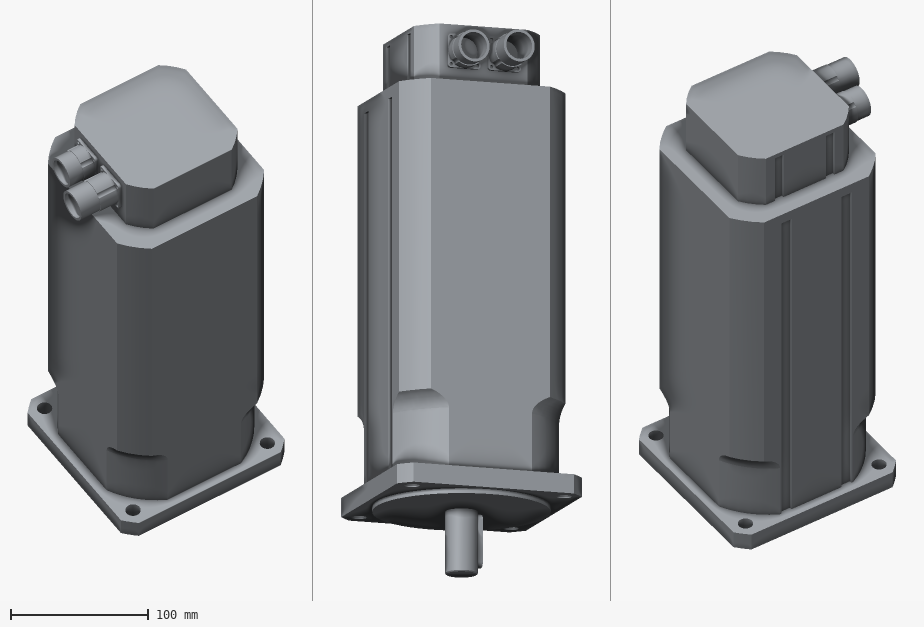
import cadquery as cq
import math


TOP_Z = 397.0
PILOT_Z = 46.5
PILOT_HEIGHT = 3.5
FLANGE_THICKNESS = 14.3
CAP_HEIGHT = 44.5
FLANGE_Z = PILOT_Z + PILOT_HEIGHT
HOUSING_Z = FLANGE_Z + FLANGE_THICKNESS
CAP_Z = TOP_Z - CAP_HEIGHT

FLANGE_WIDTH = 142.0
FLANGE_CORNER_DIAMETER = 188.0
HOUSING_WIDTH = 128.0
HOUSING_CORNER_DIAMETER = 157.2
CAP_WIDTH = 97.0
CAP_CORNER_DIAMETER = 118.5

RELIEF_DIAMETER = 143.0
RELIEF_TOP_Z = 122.0
RELIEF_CURVE_HEIGHT = 13.0

PILOT_DIAMETER = 130.0
BOLT_CIRCLE_DIAMETER = 165.0
BOLT_HOLE_DIAMETER = 11.0

SHAFT_DIAMETER = 24.0
SHAFT_CHAMFER = 0.8
KEY_WIDTH = 8.0
KEY_TOP_REACH = 15.0
KEY_BOTTOM_Z = 5.5
KEY_TOP_GAP = 1.0

GROOVE_DEPTH = 2.0
HOUSING_GROOVE_WIDTH = 8.7
HOUSING_GROOVE_OFFSET = 26.2
HOUSING_GROOVE_TOP_GAP = 8.5
CAP_GROOVE_WIDTH = 7.5
CAP_GROOVE_OFFSET = 22.2
CAP_GROOVE_TOP_GAP = 3.5

CONNECTOR_SPACING = 31.0
CONNECTOR_Z = 377.0
PLATE_SIZE = 25.0
PLATE_THICKNESS = 2.5
PLATE_CORNER_RADIUS = 2.5
PLATE_HOLE_DIAMETER = 2.7
BARREL_DIAMETER = PLATE_SIZE
SCREW_CLEARANCE_DIAMETER = 5.5
SLEEVE_DIAMETER = 24.0
BORE_DIAMETER = 20.0
SHORT_BARREL_END = 12.0
SHORT_LENGTH = 24.0
LONG_BARREL_END = 18.0
LONG_LENGTH = 34.5


def square_with_turned_corners(width, corner_diameter, bottom_z, top_z):
    """Square block with its four corners rounded by a cylinder on the motor axis."""
    base = cq.Workplane("XY").workplane(offset=bottom_z)
    block = base.rect(width, width).extrude(top_z - bottom_z)
    cylinder = base.circle(corner_diameter / 2).extrude(top_z - bottom_z)
    return block.intersect(cylinder)


def corner_relief():
    """Ring that trims the lower housing corners, running out in a concave curve at its top."""
    inner = RELIEF_DIAMETER / 2
    outer = HOUSING_CORNER_DIAMETER / 2
    depth = outer - inner
    curve_radius = (RELIEF_CURVE_HEIGHT**2 + depth**2) / (2 * depth)
    curve_bottom_z = RELIEF_TOP_Z - RELIEF_CURVE_HEIGHT
    half_angle = math.asin(RELIEF_CURVE_HEIGHT / curve_radius) / 2
    arc_middle = (
        inner + curve_radius * (1 - math.cos(half_angle)),
        curve_bottom_z + curve_radius * math.sin(half_angle),
    )
    clear = HOUSING_WIDTH
    return (
        cq.Workplane("XZ")
        .moveTo(inner, HOUSING_Z)
        .lineTo(inner, curve_bottom_z)
        .threePointArc(arc_middle, (outer, RELIEF_TOP_Z))
        .lineTo(clear, RELIEF_TOP_Z)
        .lineTo(clear, HOUSING_Z)
        .close()
        .revolve(360, (0, 0, 0), (0, 1, 0))
    )


def side_grooves(body_width, groove_width, groove_offset, bottom_z, top_z):
    """Pair of grooves in the -X side, open at the bottom and closed at the top."""
    return (
        cq.Workplane("XY")
        .workplane(offset=bottom_z)
        .pushPoints([(-body_width / 2, -groove_offset), (-body_width / 2, groove_offset)])
        .rect(2 * GROOVE_DEPTH, groove_width)
        .extrude(top_z - bottom_z)
    )


def make_housing():
    housing = square_with_turned_corners(HOUSING_WIDTH, HOUSING_CORNER_DIAMETER, HOUSING_Z, CAP_Z)
    grooves = side_grooves(
        HOUSING_WIDTH, HOUSING_GROOVE_WIDTH, HOUSING_GROOVE_OFFSET,
        HOUSING_Z, CAP_Z - HOUSING_GROOVE_TOP_GAP,
    )
    return housing.cut(corner_relief()).cut(grooves)


def make_cap():
    cap = square_with_turned_corners(CAP_WIDTH, CAP_CORNER_DIAMETER, CAP_Z, TOP_Z)
    grooves = side_grooves(
        CAP_WIDTH, CAP_GROOVE_WIDTH, CAP_GROOVE_OFFSET,
        CAP_Z, TOP_Z - CAP_GROOVE_TOP_GAP,
    )
    return cap.cut(grooves)


def make_flange():
    """Mounting flange with its pilot boss below."""
    flange = square_with_turned_corners(FLANGE_WIDTH, FLANGE_CORNER_DIAMETER, FLANGE_Z, HOUSING_Z)
    pilot = (
        cq.Workplane("XY").workplane(offset=PILOT_Z).circle(PILOT_DIAMETER / 2).extrude(PILOT_HEIGHT)
    )
    return flange.union(pilot)


def bolt_holes():
    return (
        cq.Workplane("XY")
        .workplane(offset=PILOT_Z)
        .polarArray(BOLT_CIRCLE_DIAMETER / 2, 45, 360, 4)
        .circle(BOLT_HOLE_DIAMETER / 2)
        .extrude(HOUSING_Z - PILOT_Z)
    )


def make_shaft():
    """Output shaft with a round-ended key on its +X side."""
    shaft = (
        cq.Workplane("XY")
        .circle(SHAFT_DIAMETER / 2)
        .extrude(PILOT_Z)
        .faces("<Z")
        .chamfer(SHAFT_CHAMFER)
    )
    key_top_z = PILOT_Z - KEY_TOP_GAP
    key = (
        cq.Workplane("YZ")
        .center(0, (KEY_BOTTOM_Z + key_top_z) / 2)
        .slot2D(key_top_z - KEY_BOTTOM_Z, KEY_WIDTH, 90)
        .extrude(KEY_TOP_REACH)
    )
    return shaft.union(key)


def make_motor():
    motor = make_flange().union(make_housing()).union(make_cap()).union(make_shaft())
    return motor.cut(bolt_holes())


def make_connector(center_x, barrel_end, length):
    """Square-plate connector standing on the cap's -Y face and pointing along -Y."""
    cap_face = cq.Workplane("XZ", origin=(center_x, -CAP_WIDTH / 2, CONNECTOR_Z))
    plate_face = cap_face.workplane(offset=PLATE_THICKNESS)
    hole_spacing = PLATE_SIZE - 2 * PLATE_CORNER_RADIUS

    plate = (
        cap_face.rect(PLATE_SIZE, PLATE_SIZE)
        .extrude(PLATE_THICKNESS)
        .edges("|Y")
        .fillet(PLATE_CORNER_RADIUS)
    )
    plate_holes = (
        cap_face.rect(hole_spacing, hole_spacing, forConstruction=True)
        .vertices()
        .circle(PLATE_HOLE_DIAMETER / 2)
        .extrude(PLATE_THICKNESS)
    )
    barrel = plate_face.circle(BARREL_DIAMETER / 2).extrude(barrel_end - PLATE_THICKNESS)
    screw_clearances = (
        plate_face.rect(hole_spacing, hole_spacing, forConstruction=True)
        .vertices()
        .circle(SCREW_CLEARANCE_DIAMETER / 2)
        .extrude(barrel_end - PLATE_THICKNESS)
    )
    sleeve = cap_face.workplane(offset=barrel_end).circle(SLEEVE_DIAMETER / 2).extrude(length - barrel_end)
    bore = plate_face.circle(BORE_DIAMETER / 2).extrude(length - PLATE_THICKNESS)

    shell = barrel.cut(screw_clearances).union(sleeve).cut(bore)
    return plate.cut(plate_holes).union(shell)


motor = make_motor()
short_connector = make_connector(-CONNECTOR_SPACING / 2, SHORT_BARREL_END, SHORT_LENGTH)
long_connector = make_connector(CONNECTOR_SPACING / 2, LONG_BARREL_END, LONG_LENGTH)

result = cq.Compound.makeCompound([motor.val(), short_connector.val(), long_connector.val()])